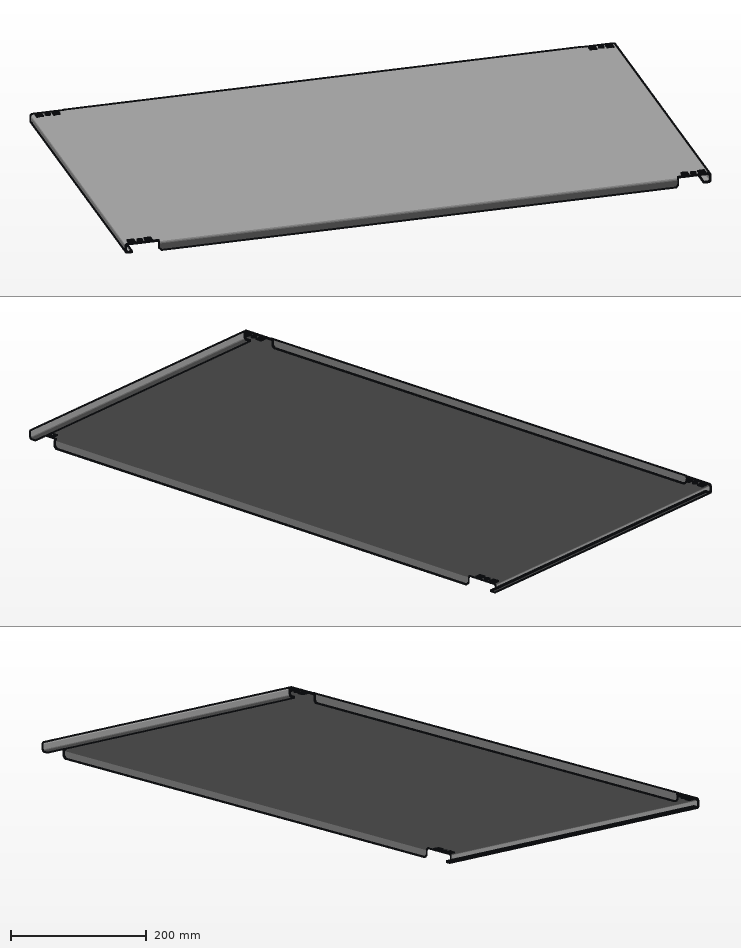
import cadquery as cq

width = 499.0
length = 900.0
height = 15.0

sheet = 2.0
top_bend_radius = 4.5
lip_bend_radius = 4.5

end_fold_width = 490.0
end_lip = 11.0
side_fold_length = 797.0
side_corner_chamfer = 4.0

hole_x = 237.15
square_side = 9.0
square_hole_y = (412.0, 438.0)
round_diameter = 7.0
round_hole_y = 425.25


def end_folded_sheet():
    """Panel with both ends folded down and then inward as lips."""
    inner_length = length - 2 * sheet
    inner_height = height - 2 * sheet
    outer = (
        cq.Workplane("XY")
        .box(end_fold_width, length, height)
        .edges("|X and >Z")
        .fillet(top_bend_radius)
        .edges("|X and <Z")
        .fillet(lip_bend_radius)
    )
    inner = (
        cq.Workplane("XY")
        .box(end_fold_width, inner_length, inner_height)
        .edges("|X and >Z")
        .fillet(top_bend_radius - sheet)
        .edges("|X and <Z")
        .fillet(lip_bend_radius - sheet)
    )
    mouth = (
        cq.Workplane("XY")
        .box(end_fold_width, length - 2 * end_lip, height)
        .translate((0, 0, -height / 2))
    )
    return outer.cut(inner).cut(mouth)


def side_folded_sheet():
    """Panel with plain flanges folded down along its long sides."""
    inner_width = width - 2 * sheet
    outer = (
        cq.Workplane("XY")
        .box(width, side_fold_length, height)
        .edges("|X and <Z")
        .chamfer(side_corner_chamfer)
        .edges("|Y and >Z")
        .fillet(top_bend_radius)
    )
    inner = (
        cq.Workplane("XY")
        .box(inner_width, side_fold_length, height)
        .edges("|Y and >Z")
        .fillet(top_bend_radius - sheet)
        .translate((0, 0, -sheet))
    )
    return outer.cut(inner)


def corner_holes():
    """Cutters for two square holes and one round hole at each corner."""
    columns = [(x, side) for x in (-hole_x, hole_x) for side in (-1, 1)]
    square_points = [(x, side * y) for x, side in columns for y in square_hole_y]
    round_points = [(x, side * round_hole_y) for x, side in columns]
    level = cq.Workplane("XY")
    squares = level.pushPoints(square_points).rect(square_side, square_side).extrude(height)
    rounds = level.pushPoints(round_points).circle(round_diameter / 2).extrude(height)
    return squares.union(rounds)


result = end_folded_sheet().union(side_folded_sheet()).cut(corner_holes())